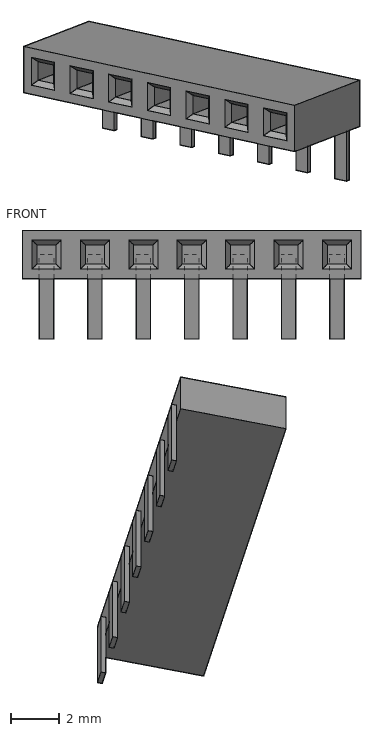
import cadquery as cq

contact_count = 7
housing_length = 14.0
housing_depth = 4.5
pitch = housing_length / contact_count
housing_height = pitch

mouth_size = 1.2
socket_size = 0.8
lead_in_depth = (mouth_size - socket_size) / 2
socket_depth = 3.5

pin_width = 0.6
pin_thickness = 0.21
pin_drop = 2.49
pin_top = housing_height / 2

contact_positions = [(i - (contact_count - 1) / 2) * pitch for i in range(contact_count)]


def make_housing():
    return cq.Workplane("XY").box(
        housing_length, housing_depth, housing_height, centered=(True, False, False)
    )


def make_socket(x):
    """Cutting solid for one socket: tapered lead-in followed by a straight square hole."""
    front_face = cq.Workplane("XZ", origin=(x, 0, housing_height / 2))
    lead_in = (
        front_face.rect(mouth_size, mouth_size)
        .workplane(offset=-lead_in_depth)
        .rect(socket_size, socket_size)
        .loft(ruled=True)
    )
    hole = front_face.rect(socket_size, socket_size).extrude(-socket_depth)
    return lead_in.union(hole)


def make_pin(x):
    pin_length = pin_top + pin_drop
    return (
        cq.Workplane("XY")
        .box(pin_width, pin_thickness, pin_length, centered=(True, False, False))
        .translate((x, housing_depth, -pin_drop))
    )


result = make_housing()
for position in contact_positions:
    result = result.cut(make_socket(position)).union(make_pin(position))